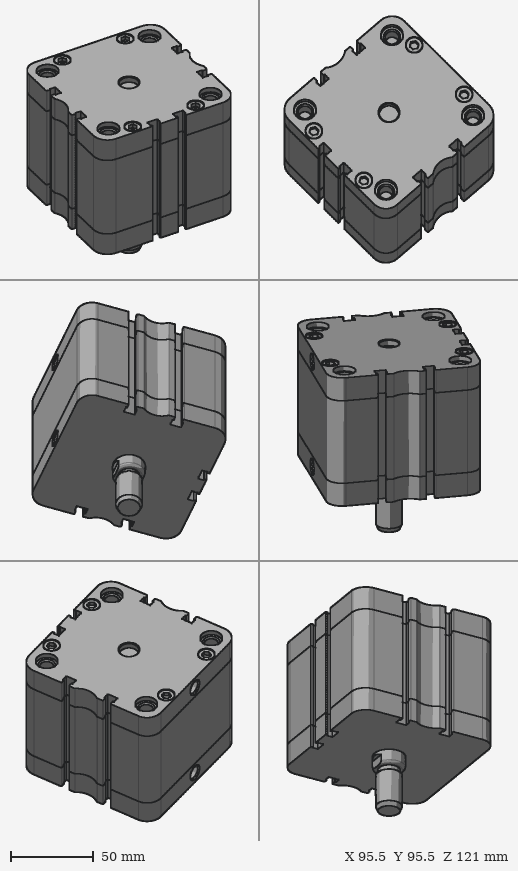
import cadquery as cq
import math

block_side = 95.5
corner_radius = 10.0
cover_height = 15.0
barrel_height = 54.0
body_height = barrel_height + 2 * cover_height
rod_projection = 37.0

front_face_z = rod_projection
barrel_bottom_z = front_face_z + cover_height
barrel_top_z = barrel_bottom_z + barrel_height
rear_face_z = front_face_z + body_height
half_side = block_side / 2

slot_mouth = 5.4
slot_width = 7.0
y_slot_offset = 15.0
y_slot_lip = 2.9
y_slot_depth = 6.7
x_slot_offset = 9.0
x_slot_lip = 1.5
x_slot_depth = 5.2

channel_width = 16.0
channel_depth = 2.8

edge_radius = 0.3

mount_offset = 36.0
mount_bore_diameter = 13.5
mount_bore_depth = 3.2
mount_mouth_diameter = 10.3
mount_thread_diameter = 8.38
mount_thread_depth = 10.0

screw_x = 41.5
screw_y = 22.2
screw_recess_diameter = 10.3
screw_head_diameter = 9.8
screw_recess_depth = 0.5
screw_head_chamfer = (screw_recess_diameter - screw_head_diameter) / 2
hex_across_flats = 5.0
hex_depth = 2.5

centre_hole_diameter = 12.0
centre_hole_depth = 4.0
centre_hole_chamfer = 0.5

port_inset = 7.6
port_mouth_diameter = 10.3
port_thread_diameter = 8.57
port_depth = 8.0
passage_diameter = 5.0
passage_depth = 12.0

bore_diameter = 80.0
piston_height = 20.0
rod_diameter = 20.0
rod_shoulder_z = 28.0
shoulder_radius = 2.0
neck_diameter = 13.5
thread_top_z = 25.2
thread_diameter = 16.0
thread_top_chamfer = 0.75
tip_chamfer_height = 3.0
tip_diameter = 13.5
flat_width = 17.0
flat_top_z = 34.0
flat_runout = 1.3


def t_slot(offset, lip, depth, angle):
    """T-slot cutter opening to +Y at x = offset, turned about Z by the angle."""
    mouth = cq.Workplane("XY").box(slot_mouth, 2 * depth, body_height, centered=(True, True, False))
    head = (
        cq.Workplane("XY")
        .box(slot_width, depth - lip, body_height, centered=(True, False, False))
        .translate((0, -depth, 0))
    )
    cutter = mouth.union(head).translate((offset, half_side, front_face_z))
    return cutter.rotate((0, 0, 0), (0, 0, 1), angle)


def block_profile_cutters():
    """Slots and channels that run the full length of the block."""
    cutters = []
    for angle in (0, 180):
        for side in (-1, 1):
            cutters.append(t_slot(side * y_slot_offset, y_slot_lip, y_slot_depth, angle))
    for side in (-1, 1):
        cutters.append(t_slot(side * x_slot_offset, x_slot_lip, x_slot_depth, -90))
    channel_radius = (channel_width**2 / 4 + channel_depth**2) / (2 * channel_depth)
    channel_axis_y = half_side - channel_depth + channel_radius
    for side in (-1, 1):
        cutters.append(
            cq.Workplane("XY", origin=(0, side * channel_axis_y, front_face_z))
            .circle(channel_radius)
            .extrude(body_height)
        )
    return cutters


def groove_edges(block):
    """Lengthwise edges where the slots and channels break out of the Y faces."""
    tolerance = 1e-3
    groove_limit_x = y_slot_offset + slot_mouth
    edges = []
    for edge in block.edges("|Z").vals():
        middle = edge.Center()
        on_y_face = abs(abs(middle.y) - half_side) < tolerance
        if on_y_face and abs(middle.x) < groove_limit_x:
            edges.append(edge)
    return edges


def block_section(bottom_z, height):
    """Length of the slotted, round-cornered square block."""
    block = (
        cq.Workplane("XY", origin=(0, 0, bottom_z))
        .rect(block_side, block_side)
        .extrude(height)
        .edges("|Z")
        .fillet(corner_radius)
    )
    for cutter in block_profile_cutters():
        block = block.cut(cutter)
    return block.newObject(groove_edges(block)).fillet(edge_radius)


def cylinder_down(x, y, top_z, diameter, depth):
    """Upright cylinder hanging from its top face."""
    return cq.Workplane("XY", origin=(x, y, top_z)).circle(diameter / 2).extrude(-depth)


def cone_down(x, y, top_z, top_diameter, bottom_diameter, depth):
    """Upright cone frustum hanging from its top face."""
    top_centre = cq.Vector(x, y, top_z)
    down = cq.Vector(0, 0, -1)
    return cq.Workplane(cq.Solid.makeCone(top_diameter / 2, bottom_diameter / 2, depth, top_centre, down))


def cut_mount_hole(cover, x, y):
    """Counterbored thread hole with a countersunk thread mouth."""
    floor_z = rear_face_z - mount_bore_depth
    mouth_depth = (mount_mouth_diameter - mount_thread_diameter) / 2
    cover = cover.cut(cylinder_down(x, y, rear_face_z, mount_bore_diameter, mount_bore_depth))
    cover = cover.cut(cone_down(x, y, floor_z, mount_mouth_diameter, mount_thread_diameter, mouth_depth))
    return cover.cut(cylinder_down(x, y, floor_z, mount_thread_diameter, mount_thread_depth))


def cut_screw_head(cover, x, y):
    """Recess over a chamfered screw head, and the hexagon socket in the head."""
    head_z = rear_face_z - screw_recess_depth
    full_depth = screw_recess_depth + screw_head_chamfer
    recess = cylinder_down(x, y, rear_face_z, screw_recess_diameter, full_depth)
    head = cone_down(x, y, head_z, screw_head_diameter, screw_recess_diameter, screw_head_chamfer)
    socket = (
        cq.Workplane("XY", origin=(x, y, head_z))
        .transformed(rotate=(0, 0, 90))
        .polygon(6, hex_across_flats / math.cos(math.pi / 6))
        .extrude(-hex_depth)
    )
    return cover.cut(recess.cut(head)).cut(socket)


def cut_port(cover, z, with_passage):
    """Countersunk threaded air port on the -X side."""
    plane = cq.Workplane("YZ", origin=(-half_side, 0, z))
    mouth_depth = (port_mouth_diameter - port_thread_diameter) / 2
    mouth = cq.Solid.makeCone(
        port_mouth_diameter / 2,
        port_thread_diameter / 2,
        mouth_depth,
        cq.Vector(-half_side, 0, z),
        cq.Vector(1, 0, 0),
    )
    cover = cover.cut(cq.Workplane(mouth)).cut(plane.circle(port_thread_diameter / 2).extrude(port_depth))
    if with_passage:
        cover = cover.cut(plane.circle(passage_diameter / 2).extrude(passage_depth))
    return cover


def make_rear_cover():
    cover = block_section(barrel_top_z, cover_height)
    for x_side in (-1, 1):
        for y_side in (-1, 1):
            cover = cut_mount_hole(cover, x_side * mount_offset, y_side * mount_offset)
            cover = cut_screw_head(cover, x_side * screw_x, y_side * screw_y)
    cover = cover.cut(cylinder_down(0, 0, rear_face_z, centre_hole_diameter, centre_hole_depth))
    mouth_diameter = centre_hole_diameter + 2 * centre_hole_chamfer
    cover = cover.cut(
        cone_down(0, 0, rear_face_z, mouth_diameter, centre_hole_diameter, centre_hole_chamfer)
    )
    return cut_port(cover, rear_face_z - port_inset, True)


def make_front_cover():
    cover = block_section(front_face_z, cover_height)
    cover = cover.cut(cylinder_down(0, 0, barrel_bottom_z, rod_diameter, cover_height))
    return cut_port(cover, front_face_z + port_inset, False)


def make_barrel():
    barrel = block_section(barrel_bottom_z, barrel_height)
    return barrel.cut(cylinder_down(0, 0, barrel_top_z, bore_diameter, barrel_height))


def rod_flat_cutter():
    """Wrench flat on the +X side, with a sloping run-out at its top."""
    flat_x = flat_width / 2
    rod_radius = rod_diameter / 2
    return (
        cq.Workplane("XZ")
        .moveTo(flat_x, rod_shoulder_z)
        .lineTo(flat_x, flat_top_z)
        .lineTo(rod_radius, flat_top_z + flat_runout)
        .lineTo(rod_radius, rod_shoulder_z)
        .close()
        .extrude(rod_radius, both=True)
    )


def make_piston_rod():
    """Turned rod with its piston resting against the rear cover."""
    piston_bottom_z = barrel_top_z - piston_height
    rod = (
        cq.Workplane("XZ")
        .lineTo(tip_diameter / 2, 0)
        .lineTo(thread_diameter / 2, tip_chamfer_height)
        .lineTo(thread_diameter / 2, thread_top_z - thread_top_chamfer)
        .lineTo(neck_diameter / 2, thread_top_z)
        .lineTo(neck_diameter / 2, rod_shoulder_z)
        .lineTo(rod_diameter / 2 - shoulder_radius, rod_shoulder_z)
        .radiusArc((rod_diameter / 2, rod_shoulder_z + shoulder_radius), -shoulder_radius)
        .lineTo(rod_diameter / 2, piston_bottom_z)
        .lineTo(bore_diameter / 2, piston_bottom_z)
        .lineTo(bore_diameter / 2, barrel_top_z)
        .lineTo(0, barrel_top_z)
        .close()
        .revolve(360, (0, 0, 0), (0, 1, 0))
    )
    flat = rod_flat_cutter()
    return rod.cut(flat).cut(flat.rotate((0, 0, 0), (0, 0, 1), 180))


rear_cover = make_rear_cover()
barrel = make_barrel()
front_cover = make_front_cover()
piston_rod = make_piston_rod()

result = cq.Compound.makeCompound([rear_cover.val(), barrel.val(), front_cover.val(), piston_rod.val()])